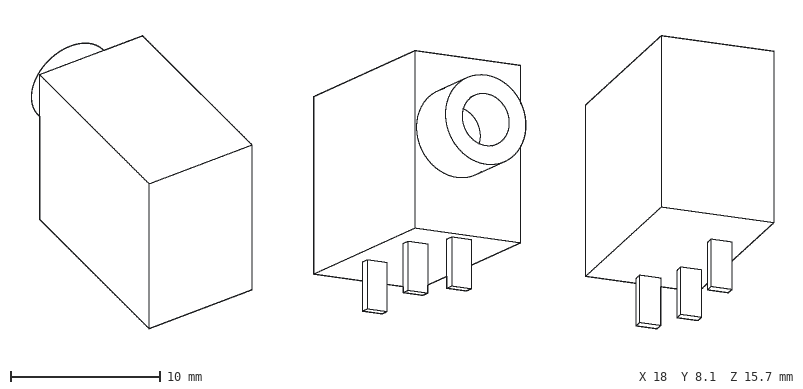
import cadquery as cq

total_length = 18.0
total_height = 15.7

housing_length = 14.0
housing_width = 8.1
housing_height = 12.3

sleeve_length = total_length - housing_length
sleeve_diameter = 6.17
bore_diameter = 3.6
bore_depth = sleeve_length
sleeve_y = 0.85
sleeve_z = 7.0

pin_thickness = 0.7
pin_width = 1.51
pin_length = total_height - housing_height
pin_row_offset = 2.0

pin_centres = [
    (1.2, 0.0),
    (3.64, pin_row_offset),
    (9.25, pin_row_offset),
]


def make_housing():
    """Rectangular block with a sleeve and a blind bore along +X."""
    block = cq.Workplane("XY").box(
        housing_length, housing_width, housing_height, centered=(False, True, False)
    )
    sleeve_end = cq.Workplane("YZ", origin=(-sleeve_length, sleeve_y, sleeve_z))
    sleeve = sleeve_end.circle(sleeve_diameter / 2).extrude(sleeve_length)
    bore = sleeve_end.circle(bore_diameter / 2).extrude(bore_depth)
    return block.union(sleeve).cut(bore)


def make_pin(x, y):
    """Straight flat pin hanging from the underside of the block."""
    return (
        cq.Workplane("XY")
        .center(x, y)
        .rect(pin_thickness, pin_width)
        .extrude(-pin_length)
    )


housing = make_housing()
pins = [make_pin(x, y) for x, y in pin_centres]

result = cq.Compound.makeCompound([housing.val(), *[pin.val() for pin in pins]])